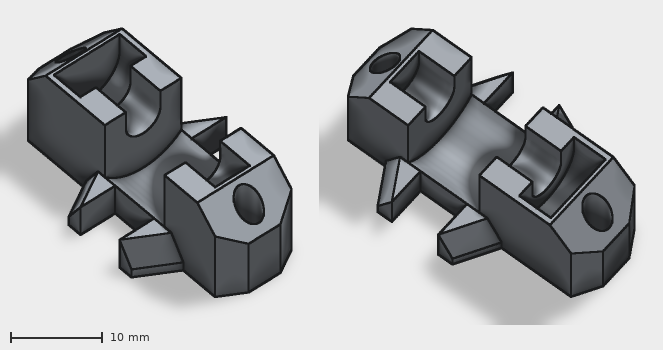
import cadquery as cq
import math

length = 35.1
width = 11.02
height = 12.5
top_bevel = 4.85
corner_angle = math.radians(30)
corner_depth_y = 3.23
corner_depth_x = corner_depth_y * math.tan(corner_angle)

hole_diameter = 3.3
hole_spacing = 29.85

axis_height = 10.0
gap_length = 10.0
gap_center = 2.2
gap_radius = 7.9
shaft_radius = 2.5
shaft_end = 12.18
hub_radius = 4.75
hub_start = -12.2
hub_length = 4.42

foot_span_y = 21.0
foot_inner_spacing = 6.53
foot_tip_width = 2.0
foot_edge_height = 1.25
foot_angle = math.radians(30)
foot_height = axis_height - math.sqrt(gap_radius**2 - (width / 2) ** 2)


def make_body():
    side = (
        cq.Workplane("XZ")
        .polyline([
            (-length / 2, 0),
            (length / 2, 0),
            (length / 2, height - top_bevel),
            (length / 2 - top_bevel, height),
            (-length / 2 + top_bevel, height),
            (-length / 2, height - top_bevel),
        ])
        .close()
        .extrude(width / 2, both=True)
    )
    plan = (
        cq.Workplane("XY")
        .polyline([
            (sx * (length / 2 - dx), sy * (width / 2 - dy))
            for sx, sy, dx, dy in (
                (-1, -1, 0, corner_depth_y),
                (-1, -1, corner_depth_x, 0),
                (1, -1, corner_depth_x, 0),
                (1, -1, 0, corner_depth_y),
                (1, 1, 0, corner_depth_y),
                (1, 1, corner_depth_x, 0),
                (-1, 1, corner_depth_x, 0),
                (-1, 1, 0, corner_depth_y),
            )
        ])
        .close()
        .extrude(height)
    )
    return side.intersect(plan)


def make_feet():
    """A bevelled bar runs along each slanted outer edge; a box trims it to a foot."""
    reach = foot_span_y / 2
    inner_x = gap_center - foot_inner_spacing / 2
    bevel_run = foot_tip_width * math.cos(foot_angle)
    edge_plane = cq.Plane(
        origin=(inner_x - foot_tip_width, -reach, 0),
        xDir=(math.cos(foot_angle), math.sin(foot_angle), 0),
        normal=(math.sin(foot_angle), -math.cos(foot_angle), 0),
    )
    bar = (
        cq.Workplane(edge_plane)
        .polyline([
            (0, 0),
            (0, foot_edge_height),
            (bevel_run, foot_height),
            (foot_span_y, foot_height),
            (foot_span_y, 0),
        ])
        .close()
        .extrude(foot_span_y, both=True)
    )
    trim = cq.Workplane("XY").box(length, reach, height, centered=False)
    foot = bar.intersect(trim.translate((inner_x - length, -reach, 0)))
    pair = foot.union(foot.mirror("YZ", (gap_center, 0, 0)))
    return pair.union(pair.mirror("XZ"))


def round_bottom_recess(start_x, recess_length, radius):
    """Half-round trough along X with straight walls up through the top."""
    trough = (
        cq.Workplane("YZ", origin=(start_x, 0, axis_height))
        .moveTo(-radius, 0)
        .threePointArc((0, -radius), (radius, 0))
        .lineTo(radius, height)
        .lineTo(-radius, height)
        .close()
    )
    return trough.extrude(recess_length)


mounting_holes = (
    cq.Workplane("XY")
    .pushPoints([(-hole_spacing / 2, 0), (hole_spacing / 2, 0)])
    .circle(hole_diameter / 2)
    .extrude(height)
)

result = (
    make_body()
    .union(make_feet())
    .cut(mounting_holes)
    .cut(round_bottom_recess(gap_center - gap_length / 2, gap_length, gap_radius))
    .cut(round_bottom_recess(hub_start, shaft_end - hub_start, shaft_radius))
    .cut(round_bottom_recess(hub_start, hub_length, hub_radius))
)